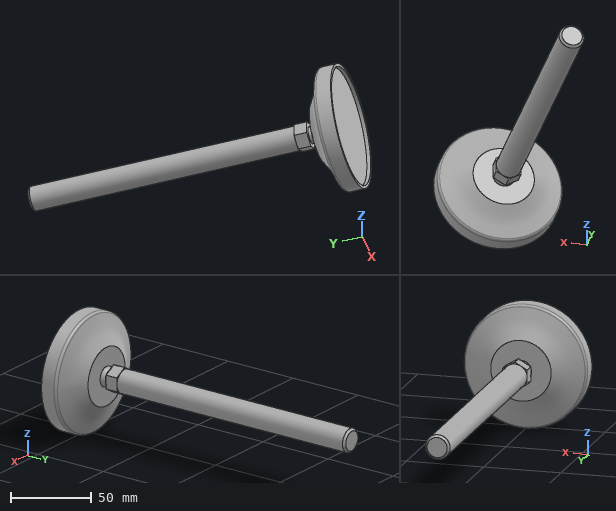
import cadquery as cq
import math

total_length = 210.0

pad_radius = 80.0 / 2
rim_height = 9.7
rim_fillet = 2.0
flank_angle = math.radians(24)
flank_sag = 0.8
pad_top_radius = 19.5
pad_height = 21.0
recess_radius = 76.0 / 2
recess_depth = 2.5

ball_radius = 7.0
ball_center = 19.7
neck_radius = 11.0 / 2

hex_start = 26.5
hex_end = 34.9
stud_diameter = 16.0
hex_across_flats = stud_diameter
stud_chamfer = 1.5


def cylinder(radius, start, end):
    """Round bar along the Y axis from start to end."""
    return cq.Workplane("XZ", origin=(0, start, 0)).circle(radius).extrude(start - end)


def fillet_point(angle):
    """Point on the rim fillet whose normal is tilted by angle from the Y axis."""
    return (
        pad_radius - rim_fillet + rim_fillet * math.sin(angle),
        rim_height + rim_fillet * math.cos(angle),
    )


def make_pad():
    fillet_end = fillet_point(flank_angle)
    fillet_middle = fillet_point((flank_angle + math.pi / 2) / 2)
    run = fillet_end[0] - pad_top_radius
    rise = pad_height - fillet_end[1]
    chord = math.hypot(run, rise)
    flank_middle = (
        (fillet_end[0] + pad_top_radius) / 2 - flank_sag * rise / chord,
        (fillet_end[1] + pad_height) / 2 - flank_sag * run / chord,
    )
    profile = (
        cq.Workplane("XY")
        .moveTo(0, recess_depth)
        .lineTo(recess_radius, recess_depth)
        .lineTo(recess_radius, 0)
        .lineTo(pad_radius, 0)
        .lineTo(pad_radius, rim_height)
        .threePointArc(fillet_middle, fillet_end)
        .threePointArc(flank_middle, (pad_top_radius, pad_height))
        .lineTo(0, pad_height)
        .close()
    )
    return profile.revolve(360, (0, 0, 0), (0, 1, 0))


def make_joint():
    ball = cq.Workplane("XY", origin=(0, ball_center, 0)).sphere(ball_radius)
    return ball.union(cylinder(neck_radius, ball_center, hex_start))


def make_hexagon():
    across_corners = hex_across_flats / math.cos(math.pi / 6)
    plane = cq.Plane(origin=(0, hex_start, 0), xDir=(0, 0, 1), normal=(0, 1, 0))
    return cq.Workplane(plane).polygon(6, across_corners).extrude(hex_end - hex_start)


def make_stud():
    stud = cylinder(stud_diameter / 2, hex_end, total_length)
    return stud.faces(">Y").chamfer(stud_chamfer)


result = make_pad().union(make_joint()).union(make_hexagon()).union(make_stud())